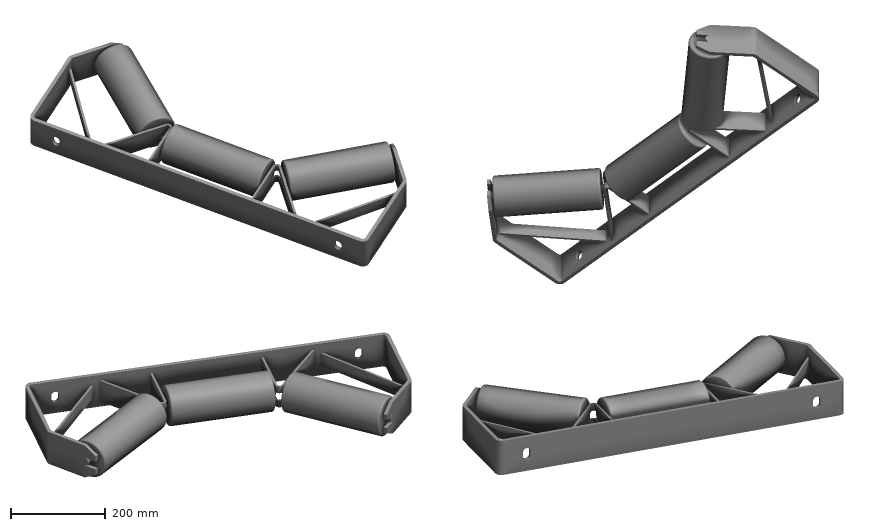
import cadquery as cq
import math

WIDTH = 800.0
FRAME_HEIGHT = 80.0
FRAME_THICKNESS = 8.0
FRAME_BEND_RADIUS = 14.0

ROLLER_DIAMETER = 89.0
ROLLER_LENGTH = 230.0
ROLLER_EDGE_RADIUS = 4.0
SHAFT_DIAMETER = 19.0
END_GAP = 5.0
CENTRE_ROLLER_Y = 102.0
SIDE_ROLLER_X = 241.0
SIDE_ROLLER_Y = 189.0
TILT = 40.0

ARM_OVERHANG = 29.0
ARM_TIP_HEIGHT = 46.0

BRACKET_HEIGHT = 52.0
BRACKET_THICKNESS = 5.0
BRACKET_BEND_RADIUS = 10.0
STRUT_HEIGHT = 30.0
STRUT_THICKNESS = 5.0
STRUT_FOOT_X = 253.0
STRUT_TOP_Y = 186.0

MOUNT_SLOT_X = 334.0
MOUNT_SLOT_WIDTH = 17.0
MOUNT_SLOT_LENGTH = 26.0

HALF_WIDTH = WIDTH / 2
SUPPORT_OFFSET = ROLLER_LENGTH / 2 + END_GAP
SIN_TILT = math.sin(math.radians(TILT))
COS_TILT = math.cos(math.radians(TILT))
TRIM_MARGIN = 40.0


def left_roller_point(along, across):
    """XY point given along the left roller axis (inwards) and square to it (upwards)."""
    x = -SIDE_ROLLER_X + along * COS_TILT + across * SIN_TILT
    y = SIDE_ROLLER_Y - along * SIN_TILT + across * COS_TILT
    return (x, y)


def across_at_x(along, x):
    """Distance square to the left roller axis at which a support face reaches x."""
    return (x + SIDE_ROLLER_X - along * COS_TILT) / SIN_TILT


def across_at_y(along, y):
    """Distance square to the left roller axis at which a support face reaches y."""
    return (y - SIDE_ROLLER_Y + along * SIN_TILT) / COS_TILT


def mirrored(points):
    return [(-x, y) for x, y in reversed(points)]


def right_offset(path, distance):
    """Path moved to its right-hand side by a distance, with mitred corners."""
    directions = []
    for (x0, y0), (x1, y1) in zip(path, path[1:]):
        length = math.hypot(x1 - x0, y1 - y0)
        directions.append(((x1 - x0) / length, (y1 - y0) / length))
    before = [directions[0]] + directions
    after = directions + [directions[-1]]
    moved = []
    for (x, y), (ax, ay), (bx, by) in zip(path, before, after):
        mitre = distance / (1 + ax * bx + ay * by)
        moved.append((x + mitre * (ay + by), y - mitre * (ax + bx)))
    return moved


def bent_strip(path, thickness, height, bend_radius):
    """Upright strip on the right of its outer path, with concentric rounded bends."""
    inner_path = right_offset(path, thickness)
    strip = (
        cq.Workplane("XY")
        .polyline(path + inner_path[::-1])
        .close()
        .extrude(height / 2, both=True)
    )
    for corners, radius in ((path, bend_radius), (inner_path, bend_radius - thickness)):
        for x, y in corners[1:-1]:
            corner_edge = cq.selectors.NearestToPointSelector((x, y, 0))
            strip = strip.edges("|Z").edges(corner_edge).fillet(radius)
    return strip


def frame_interior():
    """Space inside the frame, above the base and between the side walls."""
    return (
        cq.Workplane("XY")
        .box(WIDTH - 2 * FRAME_THICKNESS, WIDTH, FRAME_HEIGHT, centered=(True, False, True))
        .translate((0, FRAME_THICKNESS, 0))
    )


def on_left_roller(tool):
    """Place a tool made along +X at the origin on the axis of the left roller."""
    return tool.rotate((0, 0, 0), (0, 0, 1), -TILT).translate((-SIDE_ROLLER_X, SIDE_ROLLER_Y, 0))


def on_centre(tool):
    """Place a tool made along +X at the origin on the axis of the centre roller."""
    return tool.translate((0, CENTRE_ROLLER_Y, 0))


def make_shaft(reach_back, reach_ahead):
    """Round shaft along X, reaching the given distances either side of the origin."""
    plane = cq.Workplane("YZ", origin=(-reach_back, 0, 0))
    return plane.circle(SHAFT_DIAMETER / 2).extrude(reach_back + reach_ahead)


def make_roller(reach_back, reach_ahead):
    """Round-edged roller along X, in one piece with its shaft."""
    shell = (
        cq.Workplane("YZ", origin=(-ROLLER_LENGTH / 2, 0, 0))
        .circle(ROLLER_DIAMETER / 2)
        .extrude(ROLLER_LENGTH)
        .edges("%CIRCLE")
        .fillet(ROLLER_EDGE_RADIUS)
    )
    return shell.union(make_shaft(reach_back, reach_ahead))


def arm_tip_cutter():
    """Shaft slot and two corner cuts at the tip of the left arm."""
    arm_outer_face = SUPPORT_OFFSET + FRAME_THICKNESS
    half_height = FRAME_HEIGHT / 2
    plane = cq.Workplane("YZ", origin=(-arm_outer_face, 0, 0))
    slot = plane.center(ARM_OVERHANG / 2, 0).rect(ARM_OVERHANG, SHAFT_DIAMETER).extrude(FRAME_THICKNESS)
    cutter = slot.union(make_shaft(arm_outer_face, 0))
    for side in (-1, 1):
        corner = plane.polyline(
            [
                (0, side * half_height),
                (ARM_OVERHANG, side * ARM_TIP_HEIGHT / 2),
                (ARM_OVERHANG, side * half_height),
            ]
        ).close()
        cutter = cutter.union(corner.extrude(FRAME_THICKNESS))
    return on_left_roller(cutter)


def make_frame():
    """Bent strip with a flat base, two side walls and two arms tilted towards the side rollers."""
    arm_face = -SUPPORT_OFFSET - FRAME_THICKNESS
    left_path = [
        (-HALF_WIDTH, 0),
        left_roller_point(arm_face, across_at_x(arm_face, -HALF_WIDTH)),
        left_roller_point(arm_face, ARM_OVERHANG),
    ]
    outer_path = mirrored(left_path) + left_path
    frame = bent_strip(outer_path, FRAME_THICKNESS, FRAME_HEIGHT, FRAME_BEND_RADIUS)
    tip_cutter = arm_tip_cutter()
    frame = frame.cut(tip_cutter).cut(tip_cutter.mirror("YZ"))
    mount_slots = (
        cq.Workplane("XZ")
        .pushPoints([(-MOUNT_SLOT_X, 0), (MOUNT_SLOT_X, 0)])
        .slot2D(MOUNT_SLOT_LENGTH, MOUNT_SLOT_WIDTH, 90)
        .extrude(FRAME_THICKNESS, both=True)
    )
    return frame.cut(mount_slots)


def make_left_bracket():
    """Folded strip between the left and centre rollers, slotted over its bend for both shafts."""
    apex = left_roller_point(SUPPORT_OFFSET, across_at_x(SUPPORT_OFFSET, -SUPPORT_OFFSET))
    path = [
        left_roller_point(SUPPORT_OFFSET, across_at_y(SUPPORT_OFFSET, -TRIM_MARGIN)),
        apex,
        (-SUPPORT_OFFSET, -TRIM_MARGIN),
    ]
    bracket = bent_strip(path, BRACKET_THICKNESS, BRACKET_HEIGHT, BRACKET_BEND_RADIUS)
    bracket = bracket.intersect(frame_interior())
    shaft_on_left_leg = left_roller_point(SUPPORT_OFFSET + BRACKET_THICKNESS, 0)
    shaft_on_right_leg = (-SUPPORT_OFFSET - BRACKET_THICKNESS, CENTRE_ROLLER_Y)
    bend_slot = (
        cq.Workplane("XY")
        .polyline(
            [
                left_roller_point(SUPPORT_OFFSET, 0),
                apex,
                (-SUPPORT_OFFSET, CENTRE_ROLLER_Y),
                shaft_on_right_leg,
                shaft_on_left_leg,
            ]
        )
        .close()
        .extrude(SHAFT_DIAMETER / 2, both=True)
    )
    left_hole = on_left_roller(make_shaft(0, SUPPORT_OFFSET + BRACKET_THICKNESS))
    centre_hole = on_centre(make_shaft(SUPPORT_OFFSET + BRACKET_THICKNESS, 0))
    return bracket.cut(bend_slot).cut(left_hole).cut(centre_hole)


def make_left_strut():
    """Straight diagonal strip from the base to the left wall."""
    foot = (-STRUT_FOOT_X, FRAME_THICKNESS)
    top = (-HALF_WIDTH + FRAME_THICKNESS, STRUT_TOP_Y)
    length = math.hypot(top[0] - foot[0], top[1] - foot[1])
    angle = math.degrees(math.atan2(top[1] - foot[1], top[0] - foot[0]))
    strip = (
        cq.Workplane("XY")
        .box(length + 2 * TRIM_MARGIN, STRUT_THICKNESS, STRUT_HEIGHT)
        .rotate((0, 0, 0), (0, 0, 1), angle)
        .translate(((foot[0] + top[0]) / 2, (foot[1] + top[1]) / 2, 0))
    )
    return strip.intersect(frame_interior())


arm_outer_reach = SUPPORT_OFFSET + FRAME_THICKNESS
bracket_reach = SUPPORT_OFFSET + BRACKET_THICKNESS

frame = make_frame()
centre_roller = on_centre(make_roller(bracket_reach, bracket_reach))
left_roller = on_left_roller(make_roller(arm_outer_reach, bracket_reach))

bodies = [frame.val(), centre_roller.val()]
for left_body in (left_roller, make_left_bracket(), make_left_strut()):
    bodies.append(left_body.val())
    bodies.append(left_body.mirror("YZ").val())

result = cq.Compound.makeCompound(bodies)